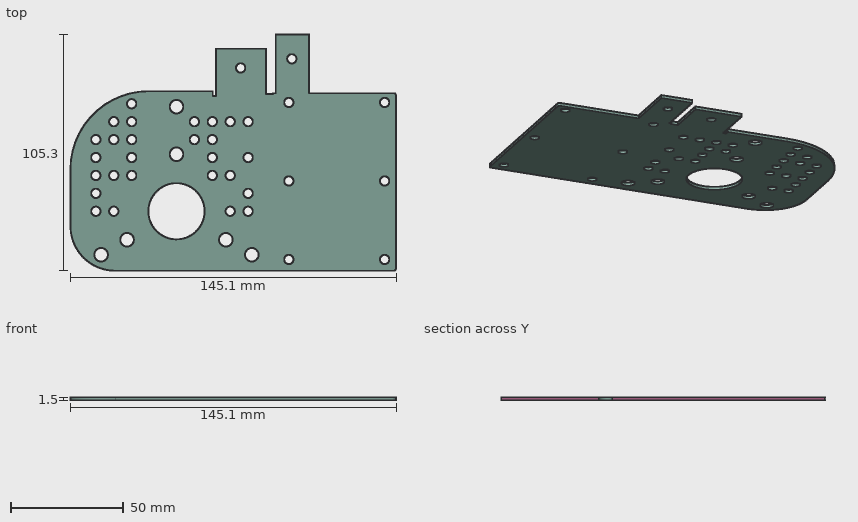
import cadquery as cq
import math

length = 145.1
thickness = 1.5
right_edge_height = 79.2
left_edge_height = 80.1
upper_left_radius = 35.0
lower_left_radius = 20.0
right_corner_radius = 1.0

wide_tab_left = 64.9
wide_tab_right = 87.2
wide_tab_top = 99.0
narrow_tab_left = 91.4
narrow_tab_right = 106.4
narrow_tab_top = 105.3

notch_left = 63.5
notch_floor = 77.9
gap_floor = 78.8
gap_step_x = 90.3

small_diameter = 4.0
medium_diameter = 6.0
hub_diameter = 25.0
hub_x = 47.3
hub_y = 26.5
pitch = 8.0
inner_ring_radius = 25.4
outer_ring_radius = 38.7
top_hole_distance = 46.6
ring_angles = (210, 330)

grid_columns = (
    (-4.5, (0, 1, 2, 3, 4)),
    (-3.5, (0, 2, 4, 5)),
    (-2.5, (2, 3, 4, 5, 6)),
    (1, (4, 5)),
    (2, (2, 3, 4, 5)),
    (3, (0, 2, 5)),
    (4, (0, 1, 3, 5)),
)

mount_columns = (97.4, 140.0)
mount_bottom = 5.1
mount_spacing = 35.0
mount_rows = 3
tab_holes = [(75.9, 90.4), (98.7, 94.5)]


def make_plate():
    """Extrude the outline, then round the four outer plate corners."""
    outline = [
        (0, 0),
        (length, 0),
        (length, right_edge_height),
        (narrow_tab_right, right_edge_height),
        (narrow_tab_right, narrow_tab_top),
        (narrow_tab_left, narrow_tab_top),
        (narrow_tab_left, right_edge_height),
        (gap_step_x, right_edge_height),
        (gap_step_x, gap_floor),
        (wide_tab_right, gap_floor),
        (wide_tab_right, wide_tab_top),
        (wide_tab_left, wide_tab_top),
        (wide_tab_left, notch_floor),
        (notch_left, notch_floor),
        (notch_left, left_edge_height),
        (0, left_edge_height),
    ]
    corners = (
        (0, 0, lower_left_radius),
        (0, left_edge_height, upper_left_radius),
        (length, 0, right_corner_radius),
        (length, right_edge_height, right_corner_radius),
    )
    plate = cq.Workplane("XY").polyline(outline).close().extrude(thickness)
    for x, y, radius in corners:
        corner_edge = cq.selectors.NearestToPointSelector((x, y, thickness / 2))
        plate = plate.edges("|Z").edges(corner_edge).fillet(radius)
    return plate


def drill(plate, points, diameter):
    """Cut through holes of one diameter at the given points."""
    cutters = cq.Workplane("XY").pushPoints(points).circle(diameter / 2).extrude(thickness)
    return plate.cut(cutters)


def around_hub(radius, angle):
    """Point at a distance and an angle in degrees from the hub center."""
    turn = math.radians(angle)
    return (hub_x + radius * math.cos(turn), hub_y + radius * math.sin(turn))


grid_holes = [
    (hub_x + column * pitch, hub_y + row * pitch)
    for column, rows in grid_columns
    for row in rows
]
mount_holes = [
    (x, mount_bottom + row * mount_spacing)
    for x in mount_columns
    for row in range(mount_rows)
]
medium_holes = [around_hub(inner_ring_radius, angle) for angle in (90, *ring_angles)]
medium_holes += [around_hub(outer_ring_radius, angle) for angle in ring_angles]
medium_holes.append(around_hub(top_hole_distance, 90))

result = make_plate()
result = drill(result, grid_holes + mount_holes + tab_holes, small_diameter)
result = drill(result, medium_holes, medium_diameter)
result = drill(result, [(hub_x, hub_y)], hub_diameter)